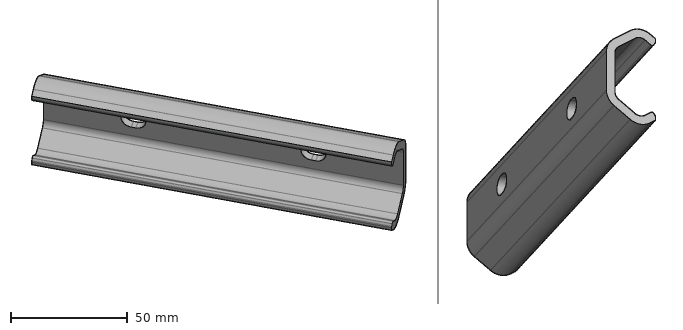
import cadquery as cq
import math

LENGTH = 160.0
DEPTH = 22.67
HEIGHT = 45.14
THICKNESS = 4.0

INNER_RADIUS = 4.0
SLOPE_ANGLE = math.radians(35.0)
CROWN_SETBACK = 15.5

LIP_LENGTH = 4.2
LIP_END_RADIUS = 1.0

SLOT_LENGTH = 11.0
SLOT_WIDTH = 9.0
SLOT_SPACING = 80.0

half_height = HEIGHT / 2
web_back = DEPTH / 2
web_front = web_back - THICKNESS
lip_front = -DEPTH / 2
outer_radius = INNER_RADIUS + THICKNESS
crown_y = web_back - CROWN_SETBACK
crown_z = half_height - outer_radius

web_bend_y = web_front - INNER_RADIUS
web_bend_z = crown_z - (web_bend_y - crown_y) * math.tan(SLOPE_ANGLE)

tip_y = crown_y - INNER_RADIUS * math.sin(SLOPE_ANGLE) - LIP_LENGTH * math.cos(SLOPE_ANGLE)
tip_z = crown_z + INNER_RADIUS * math.cos(SLOPE_ANGLE) - LIP_LENGTH * math.sin(SLOPE_ANGLE)
end_corner_z = tip_z + (tip_y - lip_front) / math.tan(SLOPE_ANGLE)


def on_circle(center, radius, angle):
    """Point on a circle; the angle is measured from +Z towards +Y."""
    return (
        center[0] + radius * math.sin(angle),
        center[1] + radius * math.cos(angle),
    )


def upper_half_section():
    """Section above the XY plane as (Y, Z) points: web, flank, crown and lip."""
    crown = (crown_y, crown_z)
    bend = (web_bend_y, web_bend_z)
    bend_middle = (SLOPE_ANGLE + math.pi / 2) / 2

    outer_lip_start = on_circle(crown, outer_radius, -SLOPE_ANGLE)
    outer_corner_z = outer_lip_start[1] - (outer_lip_start[0] - lip_front) * math.tan(SLOPE_ANGLE)

    return (
        cq.Workplane("YZ")
        .moveTo(web_back, 0)
        .lineTo(web_back, web_bend_z)
        .threePointArc(
            on_circle(bend, outer_radius, bend_middle),
            on_circle(bend, outer_radius, SLOPE_ANGLE),
        )
        .lineTo(*on_circle(crown, outer_radius, SLOPE_ANGLE))
        .threePointArc((crown_y, half_height), outer_lip_start)
        .lineTo(lip_front, outer_corner_z)
        .lineTo(lip_front, end_corner_z)
        .lineTo(tip_y, tip_z)
        .lineTo(*on_circle(crown, INNER_RADIUS, -SLOPE_ANGLE))
        .threePointArc(
            (crown_y, half_height - THICKNESS),
            on_circle(crown, INNER_RADIUS, SLOPE_ANGLE),
        )
        .lineTo(*on_circle(bend, INNER_RADIUS, SLOPE_ANGLE))
        .threePointArc(
            on_circle(bend, INNER_RADIUS, bend_middle),
            (web_front, web_bend_z),
        )
        .lineTo(web_front, 0)
        .close()
    )


def rounded_lip_end(body):
    """Round both corners of the lip's square end face."""
    for corner in [(0, lip_front, end_corner_z), (0, tip_y, tip_z)]:
        edge = cq.selectors.NearestToPointSelector(corner)
        body = body.edges(edge).fillet(LIP_END_RADIUS)
    return body


def rail_body():
    """Full C-section rail, symmetric about the XY plane."""
    upper = rounded_lip_end(upper_half_section().extrude(LENGTH / 2, both=True))
    return upper.union(upper.mirror("XY")).clean()


def mounting_slots():
    """Cutters through the web, centred on its height."""
    return (
        cq.Workplane("XZ", origin=(0, web_back, 0))
        .pushPoints([(-SLOT_SPACING / 2, 0), (SLOT_SPACING / 2, 0)])
        .slot2D(SLOT_LENGTH, SLOT_WIDTH)
        .extrude(THICKNESS)
    )


result = rail_body().cut(mounting_slots())